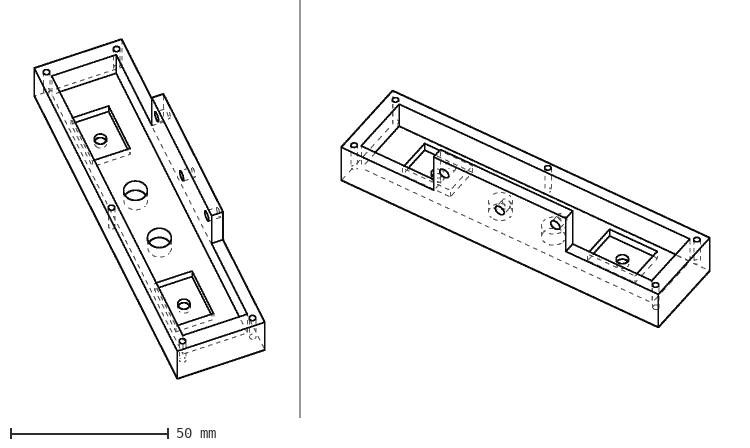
import cadquery as cq

length = 120.0
width = 30.0
tray_height = 15.0
end_wall = 5.0
side_wall = 4.0
floor_thickness = 5.0

total_height = 30.0
plate_length = 50.0
plate_thickness = side_wall
plate_hole_diameter = 3.4
plate_hole_spacing = 42.0
outer_plate_hole_drop = 5.3
middle_plate_hole_drop = 10.3

recess_length = 18.0
recess_width = 13.0
recess_depth = 3.0
recess_spacing = 70.0
recess_y = -2.5
recess_hole_diameter = 4.0

large_hole_diameter = 7.5
large_hole_spacing = 20.0
large_hole_y = -0.7

screw_hole_diameter = 2.0
screw_hole_depth = 10.0
screw_inset = 3.0

back_y = width / 2


def box_on(z, size_x, size_y, size_z, x=0, y=0):
    """Box centred at (x, y) and standing on height z."""
    return cq.Workplane("XY").box(size_x, size_y, size_z, centered=(True, True, False)).translate((x, y, z))


def vertical_holes(points, diameter, z, depth):
    """Cylinders rising from height z at the given points."""
    return cq.Workplane("XY").workplane(offset=z).pushPoints(points).circle(diameter / 2).extrude(depth)


def mirrored_pair(spacing, y):
    return [(-spacing / 2, y), (spacing / 2, y)]


tray = box_on(0, length, width, tray_height)
cavity = box_on(floor_thickness, length - 2 * end_wall, width - 2 * side_wall, tray_height - floor_thickness)
tray = tray.cut(cavity)

recess_points = mirrored_pair(recess_spacing, recess_y)
for x, y in recess_points:
    tray = tray.cut(box_on(floor_thickness - recess_depth, recess_length, recess_width, recess_depth, x, y))
tray = tray.cut(vertical_holes(recess_points, recess_hole_diameter, 0, floor_thickness))
large_hole_points = mirrored_pair(large_hole_spacing, large_hole_y)
tray = tray.cut(vertical_holes(large_hole_points, large_hole_diameter, 0, floor_thickness))

corner_spacing = length - 2 * screw_inset
corner_y = width / 2 - screw_inset
screw_points = mirrored_pair(corner_spacing, corner_y) + mirrored_pair(corner_spacing, -corner_y)
screw_points.append((0, -width / 2 + side_wall / 2))
tray = tray.cut(vertical_holes(screw_points, screw_hole_diameter, tray_height - screw_hole_depth, screw_hole_depth))

plate = box_on(
    tray_height, plate_length, plate_thickness, total_height - tray_height, y=back_y - plate_thickness / 2
)
plate_hole_points = mirrored_pair(plate_hole_spacing, total_height - outer_plate_hole_drop)
plate_hole_points.append((0, total_height - middle_plate_hole_drop))
plate_holes = (
    cq.Workplane("XZ", origin=(0, back_y, 0))
    .pushPoints(plate_hole_points)
    .circle(plate_hole_diameter / 2)
    .extrude(plate_thickness)
)

result = tray.union(plate.cut(plate_holes))